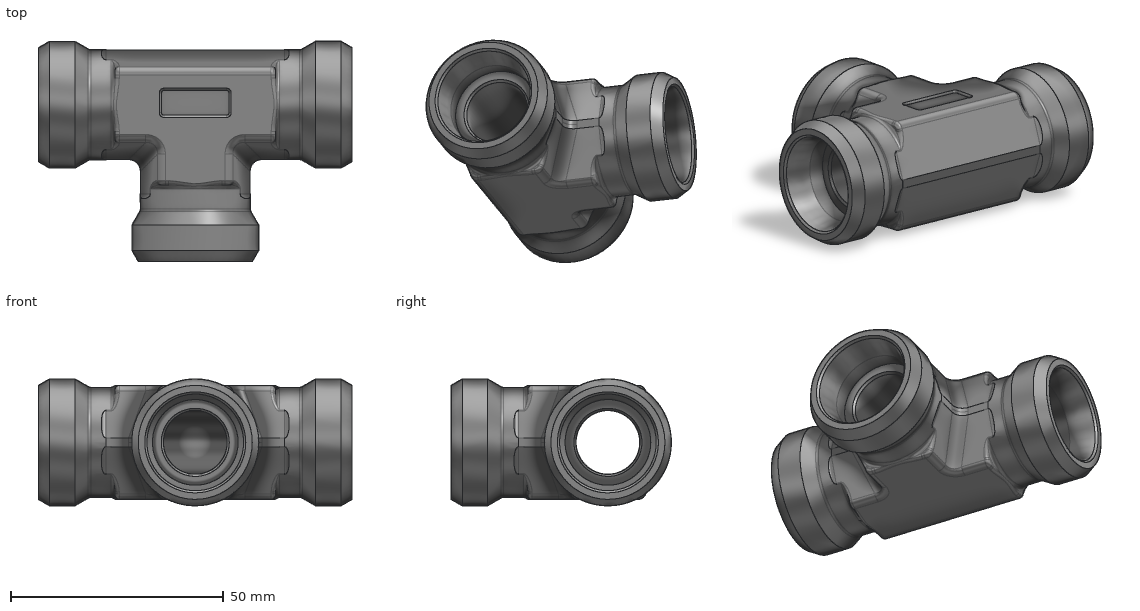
import cadquery as cq
import math

arm_length = 37.0
arm_angles = (0, 180, -90)
collar_radius = 14.985
collar_start = 28.4
collar_end = 34.3
neck_radius = 12.99
neck_blend_radius = 1.25
cone_angle = math.radians(30)

bore_radius = 7.51
bore_edge_chamfer = 0.5
socket_radius = 10.1
socket_depth = 10.5
mouth_radius = 11.4
mouth_chamfer = 0.5
mouth_taper = math.radians(12)

body_half_height = 13.5
body_half_width = 12.95
parting_half_height = 1.0
draft_angle = 20.0
body_end = 21.1
top_edge_radius = 2.0
inner_corner_radius = 2.95

step_radius = 1.0
step_start = 19.9
runout_radius = 1.5

recess_length = 16.95
recess_width = 6.9
recess_offset_y = 0.45
recess_corner_radius = 1.1
recess_depth = 0.5
recess_wall_taper = 45.0


def tee_body():
    """Tee with drafted sides, rounded inner corners and rounded top and bottom edges."""
    draft_run = (body_half_height - parting_half_height) * math.tan(math.radians(draft_angle))
    crest_half_width = body_half_width - draft_run
    section = [
        (body_half_width, parting_half_height),
        (crest_half_width, body_half_height),
        (-crest_half_width, body_half_height),
        (-body_half_width, parting_half_height),
    ]
    run = cq.Workplane("YZ").polyline(section).close().extrude(body_end, both=True)
    branch = cq.Workplane("XZ").polyline(section).close().extrude(body_end)
    upper = run.union(branch)

    margin = 0.1
    reach = body_half_width + margin
    inner_corners = cq.selectors.BoxSelector(
        (-reach, -reach, 0),
        (reach, -crest_half_width + margin, body_half_height + margin),
        boundingbox=True,
    )
    upper = upper.edges(inner_corners).fillet(inner_corner_radius)
    upper = upper.faces(">Z").edges("not(>X or <X or <Y)").fillet(top_edge_radius)
    parting_outline = upper.faces("<Z").wires().vals()
    parting_band = cq.Workplane("XY").add(parting_outline).toPending().extrude(-parting_half_height)
    half = upper.union(parting_band)
    return half.union(half.mirror("XY"))


def step_cutter():
    """Ring outside the neck radius whose inner corner is a concave round."""
    outer = math.hypot(body_half_width, body_half_height)
    flat = step_start - step_radius
    mid = step_radius * math.sqrt(0.5)
    round_centre = neck_radius + step_radius
    return (
        cq.Workplane("XY")
        .moveTo(step_start, neck_radius)
        .threePointArc((step_start - mid, round_centre - mid), (flat, round_centre))
        .lineTo(flat, outer)
        .lineTo(body_end, outer)
        .lineTo(body_end, neck_radius)
        .close()
        .revolve(360, (0, 0, 0), (1, 0, 0))
    )


def draft_runouts():
    """Blocks resting on the drafted planes that carry them into the neck with a rounded end."""
    block_size = 2 * runout_radius
    block = (
        cq.Workplane("XY")
        .box(block_size, block_size, body_half_height, centered=False)
        .edges(">X and <Y")
        .fillet(runout_radius)
        .rotate((0, 0, 0), (1, 0, 0), draft_angle)
        .translate((body_end - runout_radius, body_half_width, parting_half_height))
    )
    upper = block.union(block.mirror("XZ"))
    return upper.union(upper.mirror("XY"))


def arm():
    """Neck, cone and chamfered collar along +X, starting at the body end."""
    cone_length = (collar_radius - neck_radius) / math.tan(cone_angle)
    cone_start = collar_start - cone_length
    end_radius = collar_radius - (arm_length - collar_end) * math.tan(cone_angle)
    tangent = neck_blend_radius * math.tan(cone_angle / 2)
    blend_start = (cone_start - tangent, neck_radius)
    blend_end = (
        cone_start + tangent * math.cos(cone_angle),
        neck_radius + tangent * math.sin(cone_angle),
    )
    solid = (
        cq.Workplane("XY")
        .moveTo(body_end, 0)
        .lineTo(body_end, neck_radius)
        .lineTo(*blend_start)
        .tangentArcPoint(blend_end, relative=False)
        .lineTo(collar_start, collar_radius)
        .lineTo(collar_end, collar_radius)
        .lineTo(arm_length, end_radius)
        .lineTo(arm_length, 0)
        .close()
        .revolve(360, (0, 0, 0), (1, 0, 0))
    )
    return solid.cut(draft_runouts())


def bore():
    """Through bore, tube socket, taper and mouth chamfer along +X."""
    socket_floor = arm_length - socket_depth
    taper_end = arm_length - mouth_chamfer
    taper_length = (mouth_radius - socket_radius) / math.tan(mouth_taper)
    outline = [
        (0, 0),
        (0, bore_radius),
        (socket_floor - bore_edge_chamfer, bore_radius),
        (socket_floor, bore_radius + bore_edge_chamfer),
        (socket_floor, socket_radius),
        (taper_end - taper_length, socket_radius),
        (taper_end, mouth_radius),
        (arm_length, mouth_radius + mouth_chamfer),
        (arm_length, 0),
    ]
    return cq.Workplane("XY").polyline(outline).close().revolve(360, (0, 0, 0), (1, 0, 0))


def marking_recess():
    """Shallow rounded rectangle with sloping walls, sunk into the top face."""
    outline = cq.Sketch().rect(recess_length, recess_width).vertices().fillet(recess_corner_radius)
    return (
        cq.Workplane("XY", origin=(0, recess_offset_y, body_half_height))
        .placeSketch(outline)
        .extrude(-recess_depth, taper=recess_wall_taper)
    )


def on_arm(shape, angle):
    """Turn a shape built along +X onto the arm at the given angle."""
    return shape.rotate((0, 0, 0), (0, 0, 1), angle)


def rounded_body():
    """Tee body stepped down to every neck, with the outer edges of the steps rounded."""
    body = tee_body()
    for angle in arm_angles:
        body = body.cut(on_arm(step_cutter(), angle))
    run_rims = body.faces("|X").edges("|Y").edges(">Z or <Z")
    body = body.newObject(run_rims.vals()).fillet(step_radius)
    branch_rims = body.faces("|Y").edges("|X").edges(">Z or <Z")
    return body.newObject(branch_rims.vals()).fillet(step_radius)


result = rounded_body()
for angle in arm_angles:
    result = result.union(on_arm(arm(), angle))
for angle in arm_angles:
    result = result.cut(on_arm(bore(), angle))
result = result.cut(marking_recess())